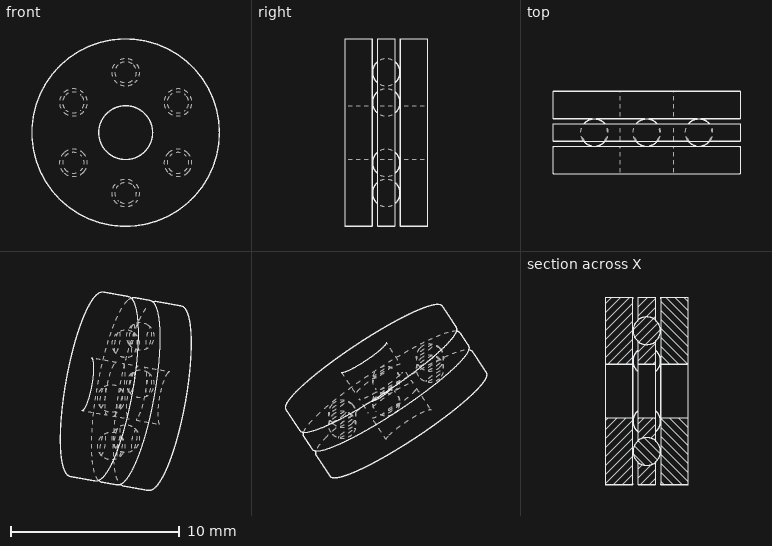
import cadquery as cq
import math

outer_diameter = 11.11
total_width = 4.9
bore_diameter = 3.18
washer_width = 1.63
cage_width = 1.04
edge_break = 0.05

ball_count = 6
ball_circle_radius = (outer_diameter + bore_diameter) / 4
ball_first_angle = 30.0
ball_diameter = total_width - 2 * washer_width


def ring(width, center_y):
    """Flat ring around the Y axis, with rounded rims at the outside and the bore."""
    blank = (
        cq.Workplane("XZ", origin=(0, center_y + width / 2, 0))
        .circle(outer_diameter / 2)
        .circle(bore_diameter / 2)
        .extrude(width)
    )
    return blank.faces("<Y or >Y").edges().fillet(edge_break)


def ball(index):
    """One ball on the pitch circle, in the middle plane of the bearing."""
    angle = math.radians(ball_first_angle + index * 360 / ball_count)
    x = ball_circle_radius * math.cos(angle)
    z = ball_circle_radius * math.sin(angle)
    return cq.Workplane("XY").sphere(ball_diameter / 2).translate((x, 0, z))


washer_offset = (total_width - washer_width) / 2
washers = [ring(washer_width, side * washer_offset) for side in (-1, 1)]

balls = [ball(index) for index in range(ball_count)]

cage = ring(cage_width, 0)
for pocket_ball in balls:
    cage = cage.cut(pocket_ball)

result = cq.Compound.makeCompound(
    [
        *[washer.val() for washer in washers],
        cage.solids().val(),
        *[single_ball.val() for single_ball in balls],
    ]
)